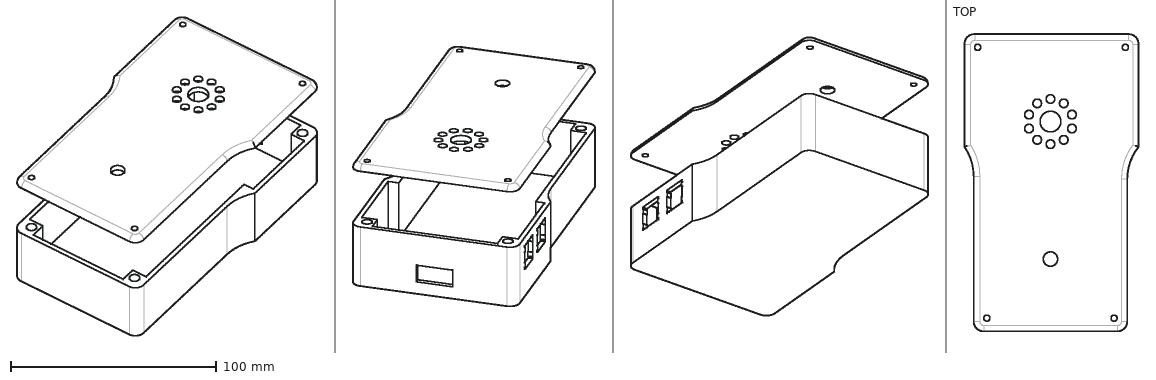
import cadquery as cq
import math

length = 145.0
back = length / 2
front = -length / 2
handle_half_width = 37.5
head_left = -42.0
head_right = 43.0
corner_radius = 5.0
head_side_length = 55.0
neck_start = back - head_side_length
neck_radius = 25.0

box_height = 32.0
lid_gap = 30.0
lid_thickness = 3.0
lid_edge_radius = 2.99
lid_bottom = box_height + lid_gap

wall = 2.5
floor = 2.0
neck_step_margin = 2.0
head_cavity_front = neck_start + neck_step_margin
post_size = 8.0
post_hole_diameter = 5.0

screw_inset = 6.5
lid_screw_diameter = 3.0
screw_points = [
    (head_left + screw_inset, back - screw_inset),
    (head_right - screw_inset, back - screw_inset),
    (-handle_half_width + screw_inset, front + screw_inset),
    (handle_half_width - screw_inset, front + screw_inset),
]

grille_y = back - 42.7
grille_center_diameter = 10.1
grille_hole_diameter = 4.2
grille_circle_radius = 11.0
grille_hole_count = 10
button_spacing = 67.0
button_y = grille_y - button_spacing
button_diameter = 7.0

window_size = 12.8
window_top = box_height - 4.7
window_pitch = 20.0
window_count = 2
first_window_back = back - 13.48
tab_depth = 0.35
tab_height = 2.5
tab_end_gap = 1.0

port_width = 18.5
port_height = 9.0
port_bottom = 6.5
port_center_x = 0.0


def neck_point(head_x, fraction):
    """Point on a neck curve: fraction 0 at the handle (tangent), 1 at the head."""
    flare = abs(head_x) - handle_half_width
    full_angle = math.acos(1 - flare / neck_radius)
    neck_end = neck_start - neck_radius * math.sin(full_angle)
    angle = fraction * full_angle
    half_width = handle_half_width + neck_radius * (1 - math.cos(angle))
    return (math.copysign(half_width, head_x), neck_end + neck_radius * math.sin(angle))


def outline_prism(bottom, height):
    """Solid prism of the case outline with rounded outer corners."""
    prism = (
        cq.Workplane("XY", origin=(0, 0, bottom))
        .moveTo(-handle_half_width, front)
        .lineTo(handle_half_width, front)
        .lineTo(*neck_point(head_right, 0))
        .threePointArc(neck_point(head_right, 0.5), neck_point(head_right, 1))
        .lineTo(head_right, back)
        .lineTo(head_left, back)
        .lineTo(*neck_point(head_left, 1))
        .threePointArc(neck_point(head_left, 0.5), neck_point(head_left, 0))
        .close()
        .extrude(height)
    )
    for end in ("<Y", ">Y"):
        prism = prism.faces(end).edges("|Z").fillet(corner_radius)
    return prism


def block(x_min, x_max, y_min, y_max, z_min, z_max):
    """Axis-aligned block between the given limits."""
    size = (x_max - x_min, y_max - y_min, z_max - z_min)
    return cq.Workplane("XY").box(*size, centered=False).translate((x_min, y_min, z_min))


def cavity():
    """Box interior: handle and head rooms, less the four corner posts."""
    half_width = handle_half_width - wall
    rooms = block(-half_width, half_width, front + wall, back - wall, floor, box_height)
    rooms = rooms.union(
        block(head_left + wall, head_right - wall, head_cavity_front, back - wall, floor, box_height)
    )
    reach = post_size / 2
    for x, y in screw_points:
        post = block(x - reach, x + reach, y - reach, y + reach, floor, box_height)
        rooms = rooms.cut(post)
    return rooms


def side_window(back_y):
    """Cutter for one square window, with the tabs left standing."""
    front_y = back_y - window_size
    bottom = window_top - window_size
    x_inner = head_left + wall
    cutter = block(head_left, x_inner, front_y, back_y, bottom, window_top)
    for tab_bottom in (bottom + tab_end_gap, window_top - tab_end_gap - tab_height):
        for tab_y in (front_y, back_y - tab_depth):
            cutter = cutter.cut(
                block(head_left, x_inner, tab_y, tab_y + tab_depth, tab_bottom, tab_bottom + tab_height)
            )
    return cutter


def make_box():
    """Open-topped box with screw posts, side windows and a rear port."""
    box = outline_prism(0, box_height).cut(cavity())
    post_holes = (
        cq.Workplane("XY", origin=(0, 0, floor))
        .pushPoints(screw_points)
        .circle(post_hole_diameter / 2)
        .extrude(box_height - floor)
    )
    box = box.cut(post_holes)
    for index in range(window_count):
        box = box.cut(side_window(first_window_back - index * window_pitch))
    port = block(
        port_center_x - port_width / 2, port_center_x + port_width / 2,
        back - wall, back,
        port_bottom, port_bottom + port_height,
    )
    return box.cut(port)


def lid_holes(points, diameter):
    """Round cutters through the lid."""
    return (
        cq.Workplane("XY", origin=(0, 0, lid_bottom))
        .pushPoints(points)
        .circle(diameter / 2)
        .extrude(lid_thickness)
    )


def make_lid():
    """Flat lid with a rounded top edge, screw holes, round grille and button hole."""
    lid = outline_prism(lid_bottom, lid_thickness).faces(">Z").edges().fillet(lid_edge_radius)
    lid = lid.cut(lid_holes(screw_points, lid_screw_diameter))
    lid = lid.cut(lid_holes([(0, grille_y)], grille_center_diameter))
    lid = lid.cut(lid_holes([(0, button_y)], button_diameter))
    ring_points = []
    for index in range(grille_hole_count):
        angle = math.pi / 2 + index * 2 * math.pi / grille_hole_count
        x = grille_circle_radius * math.cos(angle)
        y = grille_y + grille_circle_radius * math.sin(angle)
        ring_points.append((x, y))
    return lid.cut(lid_holes(ring_points, grille_hole_diameter))


box = make_box()
lid = make_lid()
result = cq.Compound.makeCompound([box.val(), lid.val()])